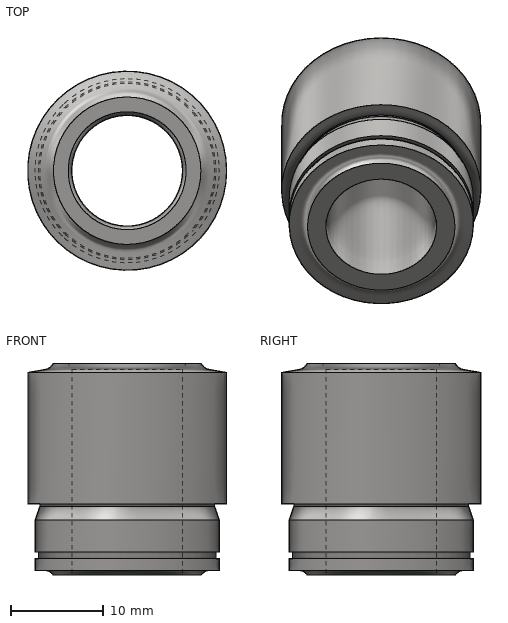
import cadquery as cq
import math

total_length = 23.0
sleeve_radius = 10.81
spigot_radius = 10.0

bore_radius = 6.0
bore_chamfer_width = 0.4
bore_chamfer_angle = math.radians(30)
bore_chamfer_depth = bore_chamfer_width / math.tan(bore_chamfer_angle)

nose_radius = 8.0
nose_fillet_radius = 1.0

top_lip_slope = math.radians(50)
top_shoulder_slope = math.radians(10)
sleeve_top_depth = 1.0
sleeve_top_z = total_length - sleeve_top_depth

bottom_lip_slope = math.radians(45)
bottom_shoulder_slope = 0.0
spigot_bottom_z = 0.5

sleeve_bottom_z = 7.74
neck_radius = 9.5
neck_bottom_z = 7.46
spigot_top_z = 6.0

groove_radius = 9.65
groove_bottom_z = 1.8
groove_width = 0.7
groove_top_z = groove_bottom_z + groove_width


def nose_profile(rim_radius, rim_depth, lip_slope, shoulder_slope):
    """Points of a nose as (radius, depth below the end face).

    Returns lip end, arc midpoint and shoulder start, where the fillet is tangent
    to the lip and to a shoulder that reaches the given rim.
    """
    depth_at_nose = rim_depth - (rim_radius - nose_radius) * math.tan(shoulder_slope)
    corner_offset = depth_at_nose / (math.tan(lip_slope) - math.tan(shoulder_slope))
    corner_radius = nose_radius + corner_offset
    corner_depth = corner_offset * math.tan(lip_slope)

    tangent_length = nose_fillet_radius * math.tan((lip_slope - shoulder_slope) / 2)
    lip_end_radius = corner_radius - tangent_length * math.cos(lip_slope)
    lip_end_depth = corner_depth - tangent_length * math.sin(lip_slope)
    centre_radius = lip_end_radius + nose_fillet_radius * math.sin(lip_slope)
    centre_depth = lip_end_depth - nose_fillet_radius * math.cos(lip_slope)

    def arc_point(slope):
        return (
            centre_radius - nose_fillet_radius * math.sin(slope),
            centre_depth + nose_fillet_radius * math.cos(slope),
        )

    middle_slope = (lip_slope + shoulder_slope) / 2
    return arc_point(lip_slope), arc_point(middle_slope), arc_point(shoulder_slope)


def from_top(point):
    """Turn (radius, depth below the top face) into (radius, height)."""
    radius, depth = point
    return radius, total_length - depth


def revolve_about_z(profile):
    """Revolve a closed radius-height profile a full turn about Z."""
    return profile.revolve(360, (0, 0, 0), (0, 1, 0))


def make_body():
    """Outer shape without the bore: noses, spigot, groove, neck and sleeve."""
    bottom_lip_end, bottom_arc_mid, bottom_shoulder_start = nose_profile(
        spigot_radius, spigot_bottom_z, bottom_lip_slope, bottom_shoulder_slope
    )
    top_lip_end, top_arc_mid, top_shoulder_start = nose_profile(
        sleeve_radius, sleeve_top_depth, top_lip_slope, top_shoulder_slope
    )
    profile = (
        cq.Workplane("XZ")
        .moveTo(0, 0)
        .lineTo(nose_radius, 0)
        .lineTo(*bottom_lip_end)
        .threePointArc(bottom_arc_mid, bottom_shoulder_start)
        .lineTo(spigot_radius, spigot_bottom_z)
        .lineTo(spigot_radius, groove_bottom_z)
        .lineTo(groove_radius, groove_bottom_z)
        .lineTo(groove_radius, groove_top_z)
        .lineTo(spigot_radius, groove_top_z)
        .lineTo(spigot_radius, spigot_top_z)
        .lineTo(neck_radius, neck_bottom_z)
        .lineTo(neck_radius, sleeve_bottom_z)
        .lineTo(sleeve_radius, sleeve_bottom_z)
        .lineTo(sleeve_radius, sleeve_top_z)
        .lineTo(*from_top(top_shoulder_start))
        .threePointArc(from_top(top_arc_mid), from_top(top_lip_end))
        .lineTo(nose_radius, total_length)
        .lineTo(0, total_length)
        .close()
    )
    return revolve_about_z(profile)


def make_bore():
    """Through bore with its chamfered entry, as a solid to cut away."""
    profile = (
        cq.Workplane("XZ")
        .moveTo(0, 0)
        .lineTo(bore_radius, 0)
        .lineTo(bore_radius, total_length - bore_chamfer_depth)
        .lineTo(bore_radius + bore_chamfer_width, total_length)
        .lineTo(0, total_length)
        .close()
    )
    return revolve_about_z(profile)


result = make_body().cut(make_bore())